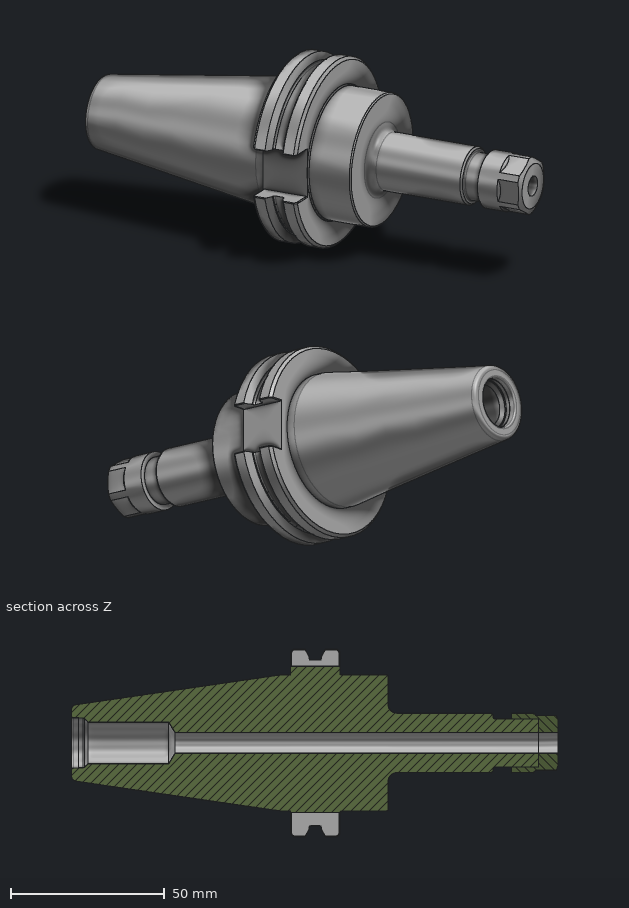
import cadquery as cq
import math


GAUGE_DIA = 44.5
TAPER_LENGTH = 68.2
TAPER_SLOPE = 7 / 24
TAPER_END_FILLET = 1.7

FLANGE_DIA = 63.3
FLANGE_START = 71.2
FLANGE_END = 87.4
FLANGE_CHAMFER = 1.0
FLANGE_ROOT_FILLET = 0.5
GROOVE_CENTER = 79.3
GROOVE_FLOOR_DIA = 56.3
GROOVE_FLOOR_WIDTH = 3.8
GROOVE_FLOOR_FILLET = 0.5
GROOVE_MOUTH_WIDTH = 6.6
GROOVE_WALL_HEIGHT = 1.0

SLOT_WIDTH = 16.1
SLOT_CHAMFER = 0.3
SLOT_FLOOR_PLUS_Y = 25.0
SLOT_FLOOR_MINUS_Y = 22.6

BODY_END = 103.0
BODY_CHAMFER = 0.5
SHANK_DIA = 19.5
SHANK_FILLET = 2.8
SHANK_END = 137.2
SHANK_CHAMFER = 0.6
STUB_DIA = 15.8
STUB_ROOT_FILLET = 0.5
STUB_END = 151.9

THROUGH_DIA = 6.6
MOUTH_ROUND = 0.6
COUNTERBORE_DIA = 16.3
COUNTERBORE_DEPTH = 2.4
PILOT_DIA = 16.1
PILOT_DEPTH = 3.8
SEAT_DIA = 15.8
SEAT_DEPTH = 4.3
THREAD_DIA = 13.5
THREAD_END = 31.6
LEAD_IN_ANGLE = 45.0
DRILL_POINT_ANGLE = 59.0

NUT_START = 143.0
NUT_END = 158.2
NUT_DIA = SHANK_DIA
NUT_CHAMFER_LENGTH = 0.8
NUT_CHAMFER_HEIGHT = 2.2
FLAT_COUNT = 6
ACROSS_FLATS = 17.9
FLAT_START = 150.2
FLAT_RUNOUT = 1.0

SELECTION_MARGIN = 0.02


def revolve_about_x(profile):
    return profile.close().revolve(360, (0, 0, 0), (1, 0, 0))


def cone_length(large_dia, small_dia, half_angle):
    return (large_dia - small_dia) / 2 / math.tan(math.radians(half_angle))


def make_taper_and_body():
    gauge_radius = GAUGE_DIA / 2
    end_radius = gauge_radius - TAPER_LENGTH * TAPER_SLOPE / 2
    taper = revolve_about_x(
        cq.Workplane("XY")
        .lineTo(0, end_radius)
        .lineTo(TAPER_LENGTH, gauge_radius)
        .lineTo(BODY_END, gauge_radius)
        .lineTo(BODY_END, 0)
    )
    taper = taper.faces("<X").edges().fillet(TAPER_END_FILLET)
    return taper.faces(">X").edges().chamfer(BODY_CHAMFER)


def make_flange():
    radius = FLANGE_DIA / 2
    flange = (
        cq.Workplane("YZ", origin=(FLANGE_START, 0, 0))
        .circle(radius)
        .extrude(FLANGE_END - FLANGE_START)
        .edges()
        .chamfer(FLANGE_CHAMFER)
        .cut(make_slots())
    )
    for side in (1, -1):
        flange = flange.edges(slot_wall_edges(side)).chamfer(SLOT_CHAMFER)
    return flange.cut(make_groove())


def slot_wall_edges(side):
    """Outer edges of the slot walls above (side 1) or below (side -1) the axis."""
    wall_z = side * SLOT_WIDTH / 2
    margin = SELECTION_MARGIN
    wall_box = cq.selectors.BoxSelector(
        (FLANGE_START - margin, -FLANGE_DIA, wall_z - margin),
        (FLANGE_END + margin, FLANGE_DIA, wall_z + margin),
    )
    floor_box = cq.selectors.BoxSelector(
        (FLANGE_START - margin, -SLOT_FLOOR_MINUS_Y - margin, wall_z - margin),
        (FLANGE_END + margin, SLOT_FLOOR_PLUS_Y + margin, wall_z + margin),
    )
    return wall_box - floor_box


def make_groove():
    floor_radius = GROOVE_FLOOR_DIA / 2
    half_floor = GROOVE_FLOOR_WIDTH / 2
    half_mouth = GROOVE_MOUTH_WIDTH / 2
    groove = revolve_about_x(
        cq.Workplane("XY")
        .moveTo(GROOVE_CENTER - half_floor, floor_radius)
        .lineTo(GROOVE_CENTER - half_floor, floor_radius + GROOVE_WALL_HEIGHT)
        .lineTo(GROOVE_CENTER - half_mouth, FLANGE_DIA / 2)
        .lineTo(GROOVE_CENTER + half_mouth, FLANGE_DIA / 2)
        .lineTo(GROOVE_CENTER + half_floor, floor_radius + GROOVE_WALL_HEIGHT)
        .lineTo(GROOVE_CENTER + half_floor, floor_radius)
    )
    return groove.edges(cq.selectors.RadiusNthSelector(0)).fillet(GROOVE_FLOOR_FILLET)


def make_slots():
    length = FLANGE_END - FLANGE_START
    center_x = (FLANGE_START + FLANGE_END) / 2
    slots = cq.Workplane("XY")
    for side, floor in ((1, SLOT_FLOOR_PLUS_Y), (-1, SLOT_FLOOR_MINUS_Y)):
        depth = FLANGE_DIA / 2 - floor
        slot = cq.Workplane("XY").box(length, depth, SLOT_WIDTH)
        slots = slots.add(slot.translate((center_x, side * (floor + depth / 2), 0)))
    return slots.combine()


def make_shank():
    shank_radius = SHANK_DIA / 2
    return revolve_about_x(
        cq.Workplane("XY")
        .moveTo(BODY_END, 0)
        .lineTo(BODY_END, shank_radius)
        .lineTo(SHANK_END - SHANK_CHAMFER, shank_radius)
        .lineTo(SHANK_END, shank_radius - SHANK_CHAMFER)
        .lineTo(SHANK_END, STUB_DIA / 2)
        .lineTo(STUB_END, STUB_DIA / 2)
        .lineTo(STUB_END, 0)
    )


def make_root_fillet(face_x, cylinder_dia, fillet):
    """Solid of revolution that rounds a cylinder into the face it stands on."""
    radius = cylinder_dia / 2
    arc_offset = fillet * (1 - math.sqrt(0.5))
    return revolve_about_x(
        cq.Workplane("XY")
        .moveTo(face_x, 0)
        .lineTo(face_x, radius + fillet)
        .threePointArc(
            (face_x + arc_offset, radius + arc_offset),
            (face_x + fillet, radius),
        )
        .lineTo(face_x + fillet, 0)
    )


def make_bore():
    counterbore_radius = COUNTERBORE_DIA / 2
    arc_offset = MOUTH_ROUND * (1 - math.sqrt(0.5))
    thread_start = SEAT_DEPTH + cone_length(SEAT_DIA, THREAD_DIA, LEAD_IN_ANGLE)
    cone_end = THREAD_END + cone_length(THREAD_DIA, THROUGH_DIA, DRILL_POINT_ANGLE)
    return revolve_about_x(
        cq.Workplane("XY")
        .lineTo(0, counterbore_radius + MOUTH_ROUND)
        .threePointArc(
            (arc_offset, counterbore_radius + arc_offset),
            (MOUTH_ROUND, counterbore_radius),
        )
        .lineTo(COUNTERBORE_DEPTH, counterbore_radius)
        .lineTo(COUNTERBORE_DEPTH, PILOT_DIA / 2)
        .lineTo(PILOT_DEPTH, PILOT_DIA / 2)
        .lineTo(PILOT_DEPTH, SEAT_DIA / 2)
        .lineTo(SEAT_DEPTH, SEAT_DIA / 2)
        .lineTo(thread_start, THREAD_DIA / 2)
        .lineTo(THREAD_END, THREAD_DIA / 2)
        .lineTo(cone_end, THROUGH_DIA / 2)
        .lineTo(STUB_END, THROUGH_DIA / 2)
        .lineTo(STUB_END, 0)
    )


def make_holder():
    return (
        make_taper_and_body()
        .union(make_flange())
        .union(make_root_fillet(FLANGE_END, GAUGE_DIA, FLANGE_ROOT_FILLET))
        .union(make_shank())
        .union(make_root_fillet(BODY_END, SHANK_DIA, SHANK_FILLET))
        .union(make_root_fillet(SHANK_END, STUB_DIA, STUB_ROOT_FILLET))
        .cut(make_bore())
    )


def make_nut():
    radius = NUT_DIA / 2
    nut = revolve_about_x(
        cq.Workplane("XY")
        .moveTo(NUT_START, STUB_DIA / 2)
        .lineTo(NUT_START, radius)
        .lineTo(NUT_END - NUT_CHAMFER_LENGTH, radius)
        .lineTo(NUT_END, radius - NUT_CHAMFER_HEIGHT)
        .lineTo(NUT_END, THROUGH_DIA / 2)
        .lineTo(STUB_END, THROUGH_DIA / 2)
        .lineTo(STUB_END, STUB_DIA / 2)
    )
    for index in range(FLAT_COUNT):
        nut = nut.cut(make_flat_cutter(index * 360 / FLAT_COUNT))
    return nut


def make_flat_cutter(angle):
    depth = NUT_DIA / 2
    cutter = cq.Workplane("XY").box(
        NUT_END - FLAT_START, depth, NUT_DIA, centered=(False, False, True)
    )
    cutter = cutter.translate((FLAT_START, ACROSS_FLATS / 2, 0))
    return cutter.cut(make_flat_shoulder()).rotate((0, 0, 0), (1, 0, 0), angle)


def make_flat_shoulder():
    """Cone that the flats run out against."""
    flats_begin = FLAT_START + FLAT_RUNOUT
    return revolve_about_x(
        cq.Workplane("XY")
        .moveTo(FLAT_START, 0)
        .lineTo(FLAT_START, NUT_DIA / 2)
        .lineTo(flats_begin, ACROSS_FLATS / 2)
        .lineTo(flats_begin, 0)
    )


holder = make_holder()
nut = make_nut()

result = cq.Compound.makeCompound([holder.val(), nut.val()])